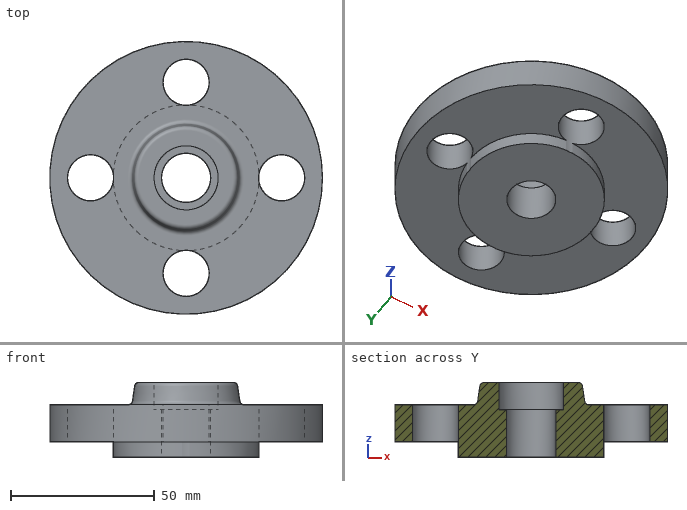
import cadquery as cq

flange_diameter = 95.2
flange_thickness = 12.95

face_diameter = 50.9
face_height = 5.4

hub_height = 7.8
hub_base_diameter = 37.9
hub_top_diameter = 35.6
hub_fillet = 1.5

bore_diameter = 17.0
socket_diameter = 22.4
socket_depth = 9.5

bolt_hole_count = 4
bolt_hole_diameter = 16.0
bolt_circle_diameter = 66.7

hub_top_z = flange_thickness + hub_height


def make_body():
    """Revolved solid of raised face, plate and tapered hub; the plate underside lies on Z = 0."""
    profile = (
        cq.Workplane("XZ")
        .moveTo(0, -face_height)
        .lineTo(face_diameter / 2, -face_height)
        .lineTo(face_diameter / 2, 0)
        .lineTo(flange_diameter / 2, 0)
        .lineTo(flange_diameter / 2, flange_thickness)
        .lineTo(hub_base_diameter / 2, flange_thickness)
        .lineTo(hub_top_diameter / 2, hub_top_z)
        .lineTo(0, hub_top_z)
        .close()
    )
    return profile.revolve(360, (0, 0, 0), (0, 1, 0))


def round_hub(body):
    """Round the hub's top rim and blend its root into the plate with the same radius."""
    body = body.faces(">Z").edges().fillet(hub_fillet)
    plate_top = body.faces(cq.selectors.NearestToPointSelector((0, 0, flange_thickness)))
    inner_edge = cq.selectors.RadiusNthSelector(0)
    return plate_top.edges(inner_edge).fillet(hub_fillet)


def cut_stepped_bore(body):
    """Cut the narrow bore right through, then the wider pipe socket down from the hub top."""
    bore = (
        cq.Workplane("XY", origin=(0, 0, -face_height))
        .circle(bore_diameter / 2)
        .extrude(face_height + hub_top_z)
    )
    socket = (
        cq.Workplane("XY", origin=(0, 0, hub_top_z))
        .circle(socket_diameter / 2)
        .extrude(-socket_depth)
    )
    return body.cut(bore).cut(socket)


def cut_bolt_holes(body):
    """Cut the bolt holes from the bottom of the raised face up through the plate."""
    holes = (
        cq.Workplane("XY", origin=(0, 0, -face_height))
        .polarArray(bolt_circle_diameter / 2, 0, 360, bolt_hole_count)
        .circle(bolt_hole_diameter / 2)
        .extrude(face_height + flange_thickness)
    )
    return body.cut(holes)


body = round_hub(make_body())
body = cut_stepped_bore(body)
result = cut_bolt_holes(body)